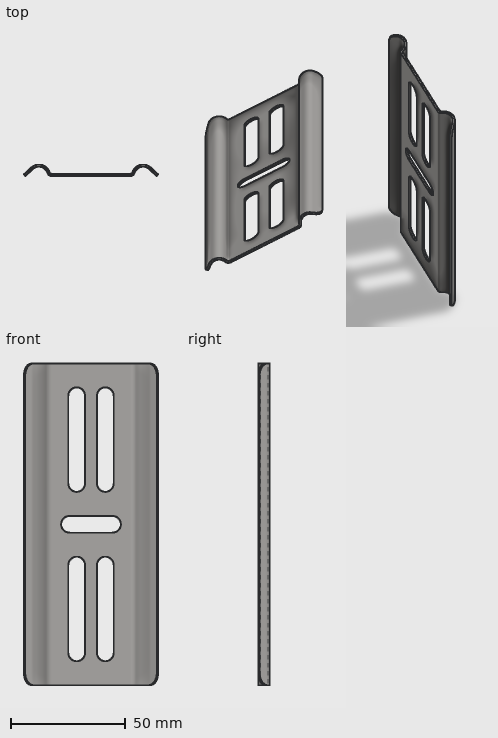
import cadquery as cq
import math

length = 140.0
width = 58.4
height = 5.0
thickness = 1.0
corner_radius = 5.0

web_half_width = 17.1
bend_radius = 1.0
crest_radius = 4.9
solver_steps = 30

slot_width = 7.1
long_slot_length = 45.4
long_slot_spacing = 12.5
long_slot_z = 36.8
cross_slot_length = 25.9

bend_center = (web_half_width, thickness + bend_radius)
crest_y = height - crest_radius
bend_to_crest_y = bend_center[1] - crest_y
center_distance = crest_radius + bend_radius
crest_x = web_half_width + math.sqrt(center_distance**2 - bend_to_crest_y**2)
crest_center = (crest_x, crest_y)
joint_angle = 90 - math.degrees(math.asin(bend_to_crest_y / center_distance))


def polar(center, radius, degrees):
    angle = math.radians(degrees)
    return (center[0] + radius * math.cos(angle), center[1] + radius * math.sin(angle))


def tangent_slope(run, rise):
    """Downward slope, in degrees, of the crest's tangent to a point given from the crest centre."""
    contact_angle = math.atan2(rise, run) + math.acos(crest_radius / math.hypot(run, rise))
    return 90 - math.degrees(contact_angle)


def lip_slope():
    """Slope at which the lip's lower corner is level with the underside of the web."""
    angle = joint_angle
    for _ in range(solver_steps):
        lip_top_y = thickness * math.cos(math.radians(angle))
        angle = tangent_slope(width / 2 - crest_x, lip_top_y - crest_y)
    return angle


lip_angle = lip_slope()
lip_top = (width / 2, thickness * math.cos(math.radians(lip_angle)))
lip_bottom = polar(lip_top, thickness, 270 - lip_angle)


def ridge_strip():
    """Right-hand bend, ridge and lip along the whole length."""
    lower_crest_radius = crest_radius - thickness
    lower_bend_radius = bend_radius + thickness
    bend_middle = 270 + joint_angle / 2
    bend_end = 270 + joint_angle
    crest_start = 90 + joint_angle
    crest_end = 90 - lip_angle
    return (
        cq.Workplane("XY")
        .moveTo(web_half_width, 0)
        .threePointArc(
            polar(bend_center, lower_bend_radius, bend_middle),
            polar(bend_center, lower_bend_radius, bend_end),
        )
        .threePointArc(
            polar(crest_center, lower_crest_radius, 90),
            polar(crest_center, lower_crest_radius, crest_end),
        )
        .lineTo(*lip_bottom)
        .lineTo(*lip_top)
        .lineTo(*polar(crest_center, crest_radius, crest_end))
        .threePointArc(
            polar(crest_center, crest_radius, 90),
            polar(crest_center, crest_radius, crest_start),
        )
        .threePointArc(
            polar(bend_center, bend_radius, bend_middle),
            (web_half_width, thickness),
        )
        .close()
        .extrude(length / 2, both=True)
    )


def lip_corner_waste():
    """Material outside the upper corner's round, removed square to the lip."""
    slope = math.radians(lip_angle)
    lip_plane = cq.Plane(
        origin=(lip_top[0], lip_top[1], length / 2),
        xDir=(math.cos(slope), -math.sin(slope), 0),
        normal=(-math.sin(slope), -math.cos(slope), 0),
    )
    arc_center = (-corner_radius, -corner_radius)
    return (
        cq.Workplane(lip_plane)
        .moveTo(-corner_radius, 0)
        .threePointArc(polar(arc_center, corner_radius, 45), (0, -corner_radius))
        .lineTo(0, 0)
        .close()
        .extrude(2 * thickness, both=True)
    )


def ridge():
    upper_waste = lip_corner_waste()
    return ridge_strip().cut(upper_waste).cut(upper_waste.mirror("XY"))


def slots():
    places = [
        (side * long_slot_spacing / 2, end * long_slot_z)
        for side in (-1, 1)
        for end in (-1, 1)
    ]
    long_slots = cq.Workplane("XZ").pushPoints(places).slot2D(long_slot_length, slot_width, 90)
    cross_slot = cq.Workplane("XZ").slot2D(cross_slot_length, slot_width)
    return long_slots.extrude(height, both=True).union(cross_slot.extrude(height, both=True))


web = cq.Workplane("XY").box(2 * web_half_width, thickness, length).translate((0, thickness / 2, 0))
right_ridge = ridge()
result = web.union(right_ridge).union(right_ridge.mirror("YZ")).cut(slots())